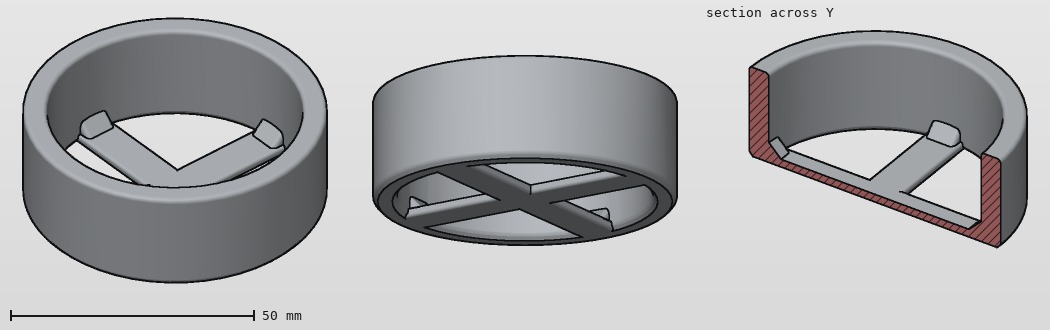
import cadquery as cq

outer_diameter = 62.5
bore_diameter = 52.5
height = 22.0
top_round = 1.0
bottom_chamfer = 1.0
chamfer_round = 1.0

arm_width = 8.5
arm_thickness = 2.0
arm_round = 0.7

stop_width = arm_width - 2 * arm_round
stop_length = 3.0
stop_round = 1.0

bore_radius = bore_diameter / 2
wall = (outer_diameter - bore_diameter) / 2
joint_radius = bore_radius + wall / 2


def make_ring():
    """Tube with both top rims rounded and softened chamfers on both bottom rims."""
    tube = cq.Workplane("XY").circle(outer_diameter / 2).circle(bore_radius).extrude(height)
    tube = tube.faces("<Z").edges().chamfer(bottom_chamfer)
    chamfer_top_zone = cq.selectors.BoxSelector(
        (-outer_diameter, -outer_diameter, bottom_chamfer / 2),
        (outer_diameter, outer_diameter, height / 2),
    )
    tube = tube.edges("%CIRCLE").edges(chamfer_top_zone).fillet(chamfer_round)
    return tube.faces(">Z").edges().fillet(top_round)


def make_bar():
    """Bar along X, spanning the bore, with its long edges rounded."""
    bar_length = 2 * joint_radius
    bar = cq.Workplane("XY").rect(bar_length, arm_width).extrude(arm_thickness)
    return bar.edges("|X").fillet(arm_round)


def make_stop():
    """45-degree wedge at the +X end of a bar, rounded along its sloping edges."""
    toe = bore_radius - stop_length
    root = arm_thickness / 2
    depth = joint_radius - toe
    wedge = (
        cq.Workplane("XZ")
        .moveTo(toe, arm_thickness)
        .lineTo(joint_radius, arm_thickness + depth)
        .lineTo(joint_radius, root)
        .lineTo(toe, root)
        .close()
        .extrude(stop_width / 2, both=True)
    )
    sloping_edges = cq.selectors.ParallelDirSelector(cq.Vector(1, 0, 1))
    return wedge.edges(sloping_edges).fillet(stop_round)


def turn(part, quarter_turns):
    """Turn a part about the Z axis by a number of quarter turns."""
    return part.rotate((0, 0, 0), (0, 0, 1), 90 * quarter_turns)


def make_cross():
    """Two crossing bars with a stop at each of the four ends, trimmed inside the wall."""
    cross = make_bar().union(turn(make_bar(), 1))
    for quarter in range(4):
        cross = cross.union(turn(make_stop(), quarter))
    return cross.intersect(cq.Workplane("XY").circle(joint_radius).extrude(height))


result = make_ring().union(make_cross())